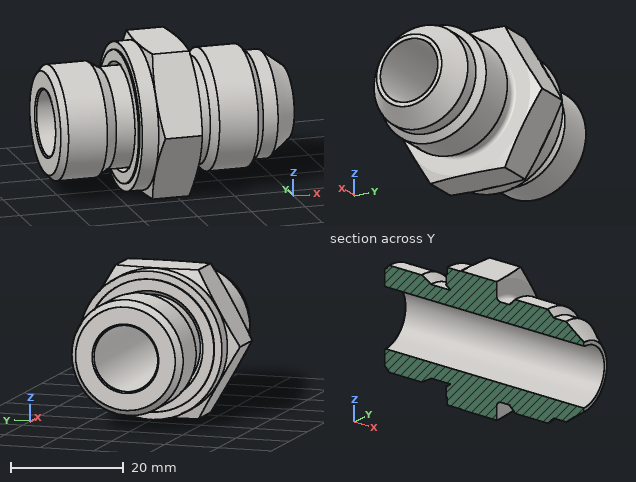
import cadquery as cq
import math

length = 44.3
bore_radius = 6.0
bore_chamfer = 0.25

thread_radius = 10.45
thread_chamfer = 1.1
thread_end = 8.35
relief_start = 10.4
relief_radius = 9.15

seal_face = 13.65
seal_face_radius = 12.0
face_countersink_radius = 9.92
face_countersink_depth = 0.9
collar_start = 13.9
collar_radius = 13.42

hex_start = 16.95
hex_end = 25.0
hex_flats = 27.0
hex_chamfer_angle = 15.0

neck_radius = 9.8
neck_fillet = 0.75
flare_thread_start = 27.7
flare_thread_end = 36.25
flare_thread_radius = 11.1
flare_thread_chamfer = flare_thread_radius - neck_radius
flare_cone_start = 40.3
flare_cone_angle = 37.0


def turned_body():
    """Solid of revolution carrying both ends and the collar."""
    fillet_mid = neck_fillet * (1 - math.sqrt(0.5))
    flare_tip_radius = neck_radius - (length - flare_cone_start) * math.tan(math.radians(flare_cone_angle))
    profile = (
        cq.Workplane("XY")
        .lineTo(0, thread_radius - thread_chamfer)
        .lineTo(thread_chamfer, thread_radius)
        .lineTo(thread_end, thread_radius)
        .lineTo(relief_start, relief_radius)
        .lineTo(seal_face + face_countersink_depth, relief_radius)
        .lineTo(seal_face, face_countersink_radius)
        .lineTo(seal_face, seal_face_radius)
        .lineTo(collar_start, seal_face_radius)
        .lineTo(collar_start, collar_radius)
        .lineTo(hex_end, collar_radius)
        .lineTo(hex_end, neck_radius + neck_fillet)
        .threePointArc(
            (hex_end + fillet_mid, neck_radius + fillet_mid),
            (hex_end + neck_fillet, neck_radius),
        )
        .lineTo(flare_thread_start, neck_radius)
        .lineTo(flare_thread_start + flare_thread_chamfer, flare_thread_radius)
        .lineTo(flare_thread_end, flare_thread_radius)
        .lineTo(flare_thread_end + flare_thread_chamfer, neck_radius)
        .lineTo(flare_cone_start, neck_radius)
        .lineTo(length, flare_tip_radius)
        .lineTo(length, 0)
        .close()
    )
    return profile.revolve(360, (0, 0, 0), (1, 0, 0))


def chamfered_hexagon():
    """Hexagon with corners on +Y and -Y, its corners turned off conically at both ends."""
    corner_diameter = hex_flats / math.cos(math.radians(30))
    corner_radius = corner_diameter / 2
    chamfer_depth = (corner_radius - collar_radius) * math.tan(math.radians(hex_chamfer_angle))
    prism = (
        cq.Workplane("YZ", origin=(hex_start, 0, 0))
        .polygon(6, corner_diameter)
        .extrude(hex_end - hex_start)
    )
    envelope = (
        cq.Workplane("XY")
        .moveTo(hex_start, 0)
        .lineTo(hex_start, collar_radius)
        .lineTo(hex_start + chamfer_depth, corner_radius)
        .lineTo(hex_end - chamfer_depth, corner_radius)
        .lineTo(hex_end, collar_radius)
        .lineTo(hex_end, 0)
        .close()
        .revolve(360, (0, 0, 0), (1, 0, 0))
    )
    return prism.intersect(envelope)


def bore():
    """Through bore, chamfered at the straight threaded end."""
    return (
        cq.Workplane("XY")
        .lineTo(0, bore_radius + bore_chamfer)
        .lineTo(bore_chamfer, bore_radius)
        .lineTo(length, bore_radius)
        .lineTo(length, 0)
        .close()
        .revolve(360, (0, 0, 0), (1, 0, 0))
    )


result = turned_body().union(chamfered_hexagon()).cut(bore())